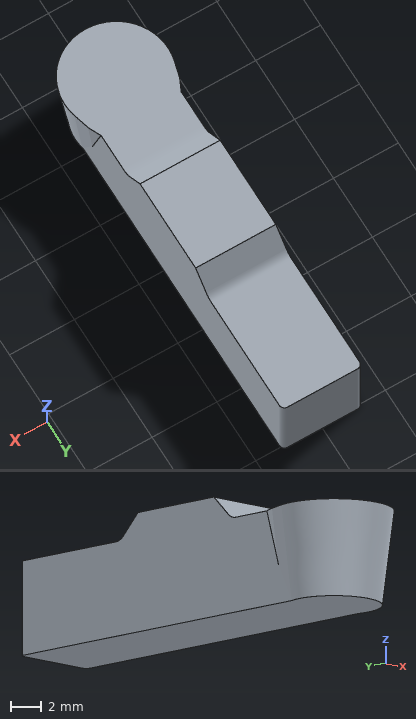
import cadquery as cq
import math

shank_width = 6.2
base_height = 6.4
total_height = 8.08
total_length = 30.5
back_corner_radius = 0.4

pad_crest_start = 11.15
pad_crest_end = 18.3
pad_ramp_angle = 45.0
pad_root_radius = 1.0

head_radius = 4.0
draft_angle = 7.0
flank_angle = 15.0
flank_end_y = 2.25
neck_angle = 25.0
neck_end_x = shank_width / 4

back_y = total_length - head_radius


def make_shank():
    """Bar with the raised pad, running from the head axis to the back end."""
    ramp_run = (total_height - base_height) / math.tan(math.radians(pad_ramp_angle))
    crest_back_y = back_y - pad_crest_start
    crest_front_y = back_y - pad_crest_end
    root_back_y = crest_back_y + ramp_run
    root_front_y = crest_front_y - ramp_run

    shank = (
        cq.Workplane("YZ")
        .moveTo(0, 0)
        .lineTo(back_y, 0)
        .lineTo(back_y, base_height)
        .lineTo(root_back_y, base_height)
        .lineTo(crest_back_y, total_height)
        .lineTo(crest_front_y, total_height)
        .lineTo(root_front_y, base_height)
        .lineTo(0, base_height)
        .close()
        .extrude(shank_width / 2, both=True)
    )
    for root_y in (root_back_y, root_front_y):
        root_edge = cq.selectors.NearestToPointSelector((0, root_y, base_height))
        shank = shank.edges(root_edge).fillet(pad_root_radius)
    return shank.edges("|Z and >Y").fillet(back_corner_radius)


def make_head():
    """Round nose with two flats per side, tapering inward toward the bottom."""
    flank = math.radians(flank_angle)
    tangent_x = head_radius * math.cos(flank)
    tangent_y = head_radius * math.sin(flank)
    flank_end_x = tangent_x - (flank_end_y - tangent_y) * math.tan(flank)
    neck_end_y = flank_end_y + (flank_end_x - neck_end_x) / math.tan(math.radians(neck_angle))

    return (
        cq.Workplane("XY", origin=(0, 0, base_height))
        .moveTo(neck_end_x, neck_end_y)
        .lineTo(flank_end_x, flank_end_y)
        .lineTo(tangent_x, tangent_y)
        .threePointArc((0, -head_radius), (-tangent_x, tangent_y))
        .lineTo(-flank_end_x, flank_end_y)
        .lineTo(-neck_end_x, neck_end_y)
        .close()
        .extrude(-base_height, taper=draft_angle)
    )


result = make_shank().union(make_head())